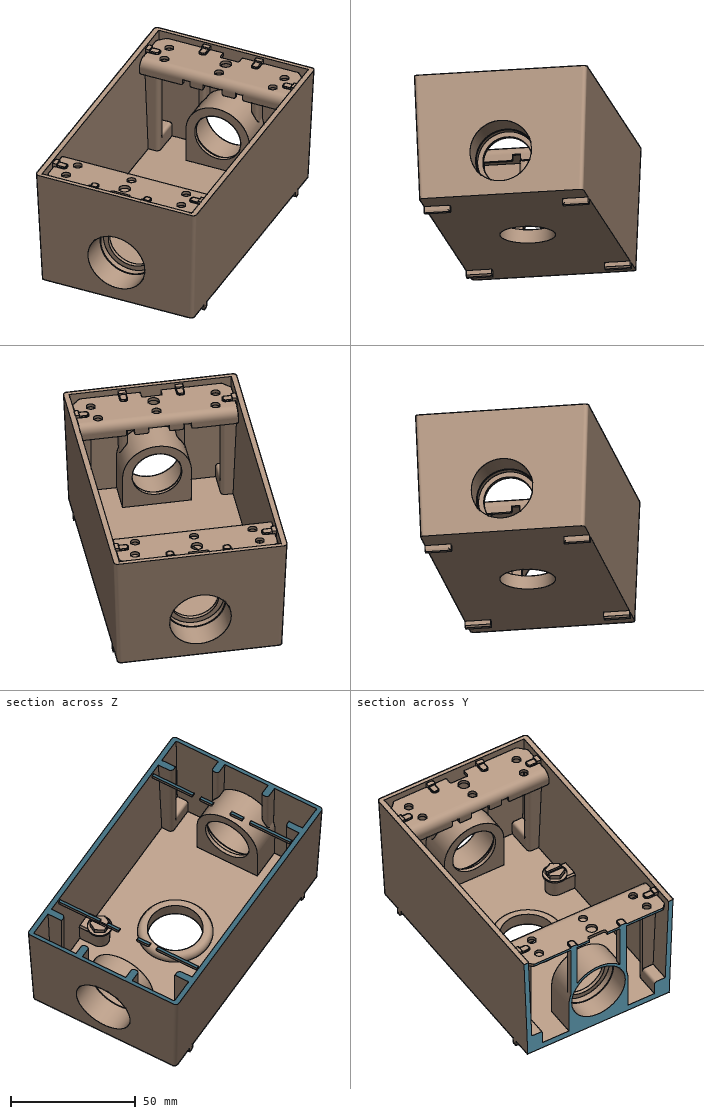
import cadquery as cq
import math

length = 115.1
width = 70.6
height = 51.4
draft = 2.0
cavity_draft = 2.2
corner_radius = 1.6
floor_thickness = 3.1
opening_width = 66.0
opening_length = 111.6

overall_height = 54.0
foot_height = overall_height - height
foot_length = 10.5
foot_thickness = 2.5
foot_y = 43.7
foot_chamfer = 0.7
foot_bevel_length = 0.8
foot_bevel_depth = 0.2

hub_z = 18.1
hub_radius = 14.0
hub_face_y = 40.6
thread_diameter = 25.1
thread_depth = 11.5
relief_diameter = 24.4
relief_depth = 14.2
stop_diameter = 20.3

floor_hole_diameter = 22.3
floor_rim_diameter = 30.4
floor_rim_height = 2.5
floor_rim_rounding = 2.4

support_x = 26.3
support_y = 41.7
support_height = 6.3
support_edge_radius = 1.3
pillar_thickness = 3.0
pillar_radius = 1.7

shelf_width = 64.7
shelf_front_y = 35.8
shelf_back_y = 55.1
shelf_top = height - 2.3
shelf_nose_radius = 3.6
shelf_thickness = 1.4
shelf_lip_drop = 2.5
lip_corner_radius = 0.8
shelf_corner = 3.3
shelf_hole_diameter = 3.6
shelf_hole_points = [(0, 41.9), (25.4, 49.4), (-25.4, 49.4), (23.9, 41.4), (-23.9, 41.4)]
center_hole_diameter = 4.6
center_hole_y = 48.4
recess_width = 8.4
recess_depth = 3.3
recess_radius = 0.8

clip_width = 3.2
clip_tip_radius = 1.3
clip_height = 0.7
clip_chamfer = 0.3
clip_stub_height = 1.4
clip_stub_overlap = 1.2
end_clip_x = 11.6
end_clip_tip_y = 50.3
side_clip_y = 44.4
side_clip_tip_x = 27.2

screw_x = 24.3
screw_y = 18.4
lug_width = 8.0
lug_height = 7.9
lug_chamfer = 0.7
washer_diameter = 9.9
washer_thickness = 0.7
head_flats = 6.9
head_height = 2.0
slot_width = 1.3
slot_depth = 0.9

taper = math.tan(math.radians(draft))
shelf_bottom = shelf_top - shelf_thickness
lip_top = shelf_top - shelf_nose_radius
lip_bottom = lip_top - shelf_lip_drop


def block(x0, x1, y0, y1, z0, z1):
    """Box between two opposite corners."""
    return cq.Workplane("XY").box(x1 - x0, y1 - y0, z1 - z0, centered=False).translate((x0, y0, z0))


def cylinder(x, y, z0, z1, diameter):
    """Upright cylinder."""
    return cq.Workplane("XY").center(x, y).circle(diameter / 2).extrude(z1 - z0).translate((0, 0, z0))


def mirrored_y(body):
    """The body together with its mirror image at the opposite end of the box."""
    return body.union(body.mirror("XZ"))


def drafted_block(size_x, size_y, depth):
    """Block that narrows downward from the top of the box."""
    return (
        cq.Workplane("XY").workplane(offset=height)
        .rect(size_x, size_y).extrude(-depth, taper=cavity_draft)
    )


def make_outer():
    """Drafted outer body with rounded upright corners."""
    lower_inset = 2 * height * taper
    top = cq.Sketch().rect(width, length).vertices().fillet(corner_radius)
    bottom = cq.Sketch().rect(width - lower_inset, length - lower_inset).vertices().fillet(corner_radius)
    return cq.Workplane("XY").placeSketch(bottom, top.moved(cq.Location((0, 0, height)))).loft()


def make_feet():
    """Four bars under the floor, flush with the long sides."""
    outer_x = width / 2 - height * taper
    y0 = foot_y - foot_thickness / 2
    y1 = foot_y + foot_thickness / 2
    foot = block(outer_x - foot_length, outer_x, y0, y1, -foot_height, 0)
    foot = foot.edges("<Y and <Z").chamfer(foot_chamfer)
    end_x = outer_x - foot_length
    end_bevel = (
        cq.Workplane("XY").workplane(offset=-foot_height)
        .moveTo(end_x, y1)
        .lineTo(end_x + foot_bevel_length, y1)
        .lineTo(end_x, y1 - foot_bevel_depth)
        .close().extrude(foot_height)
    )
    bottom_bevel = (
        cq.Workplane("YZ").workplane(offset=end_x)
        .moveTo(y1, -foot_height)
        .lineTo(y1, -foot_height + foot_bevel_length)
        .lineTo(y1 - foot_bevel_depth, -foot_height)
        .close().extrude(foot_length)
    )
    foot = foot.cut(end_bevel).cut(bottom_bevel)
    foot = foot.union(foot.mirror("YZ"))
    return mirrored_y(foot)


def make_hub():
    """Round-topped block on the +Y wall, reaching down to the floor."""
    hub_length = length / 2 - hub_face_y
    tube = cq.Workplane("XZ", origin=(0, length / 2, hub_z)).circle(hub_radius).extrude(hub_length)
    base = block(-hub_radius, hub_radius, hub_face_y, length / 2, 0, hub_z)
    return tube.union(base)


def make_hub_bore():
    """Stepped conduit bore through the +Y wall and its hub."""
    wall_y = length / 2 - (height - hub_z) * taper

    def step(diameter, depth):
        start = cq.Workplane("XZ", origin=(0, length / 2, hub_z))
        return start.circle(diameter / 2).extrude(length / 2 - wall_y + depth)

    bore = step(thread_diameter, thread_depth)
    bore = bore.union(step(relief_diameter, relief_depth))
    return bore.union(step(stop_diameter, length / 2 - shelf_front_y))


def make_support():
    """Low block and pillar that carry the shelf in the +X +Y corner."""
    sill = block(support_x, width / 2, support_y, length / 2, 0, floor_thickness + support_height)
    sill = sill.edges("<X and >Z").fillet(support_edge_radius)
    pillar = block(support_x, width / 2, support_y, support_y + pillar_thickness, 0, shelf_bottom)
    support = sill.union(pillar)
    round_x = support_x + pillar_radius
    round_y = support_y + pillar_radius
    rounding = block(support_x, round_x, support_y, round_y, 0, shelf_bottom)
    rounding = rounding.cut(cylinder(round_x, round_y, 0, shelf_bottom, 2 * pillar_radius))
    return support.cut(rounding)


def make_shelf():
    """Shelf at the +Y end with a rounded nose, a notched lip and its holes."""
    nose_y = shelf_front_y + shelf_nose_radius
    lip_back_y = shelf_front_y + shelf_thickness
    outer_bend = shelf_nose_radius * math.sqrt(0.5)
    inner_bend = (shelf_nose_radius - shelf_thickness) * math.sqrt(0.5)
    shelf = (
        cq.Workplane("YZ").workplane(offset=-shelf_width / 2)
        .moveTo(shelf_front_y, lip_bottom)
        .lineTo(shelf_front_y, lip_top)
        .threePointArc((nose_y - outer_bend, lip_top + outer_bend), (nose_y, shelf_top))
        .lineTo(shelf_back_y, shelf_top)
        .lineTo(shelf_back_y, shelf_bottom)
        .lineTo(nose_y, shelf_bottom)
        .threePointArc((nose_y - inner_bend, lip_top + inner_bend), (lip_back_y, lip_top))
        .lineTo(lip_back_y, lip_bottom)
        .close().extrude(shelf_width)
    )
    shelf = shelf.edges("|Z and >Y").chamfer(shelf_corner)
    notches = [(0, recess_width), (end_clip_x, clip_width), (-end_clip_x, clip_width)]
    for x, notch_width in notches:
        shelf = shelf.cut(block(x - notch_width / 2, x + notch_width / 2,
                                shelf_front_y, lip_back_y, lip_bottom, lip_top))
    shelf = shelf.faces("<Z").edges("|Y").fillet(lip_corner_radius)
    for x, y in shelf_hole_points:
        shelf = shelf.cut(cylinder(x, y, shelf_bottom, shelf_top, shelf_hole_diameter))
    shelf = shelf.cut(cylinder(0, center_hole_y, shelf_bottom, shelf_top, center_hole_diameter))
    recess = block(-recess_width / 2, recess_width / 2, shelf_back_y - recess_depth, shelf_back_y,
                   shelf_bottom, shelf_top)
    return shelf.cut(recess.edges("|Z and <Y").fillet(recess_radius))


def make_clip(root, tip, shelf_edge, base):
    """Clip along +X from its rounded tip on the shelf to a raised stub on the wall."""
    half = clip_width / 2
    clip = block(tip, root, -half, half, base, shelf_top + clip_height)
    clip = clip.edges("|Z and <X").fillet(clip_tip_radius)
    clip = clip.faces(">Z").edges("not(>X)").chamfer(clip_chamfer)
    return clip.union(block(shelf_edge - clip_stub_overlap, root, -half, half,
                            shelf_bottom, shelf_top + clip_stub_height))


def make_clips():
    """Clips of the +Y shelf: two tall ribs on the end wall and a short clip on each long wall."""
    end_root = (length + opening_length) / 4
    side_root = (width + opening_width) / 4
    end_clip = make_clip(end_root, end_clip_tip_y, shelf_back_y, 0)
    end_clip = end_clip.rotate((0, 0, 0), (0, 0, 1), 90)
    side_clip = make_clip(side_root, side_clip_tip_x, shelf_width / 2, shelf_bottom)
    clips = end_clip.translate((end_clip_x, 0, 0)).union(side_clip.translate((0, side_clip_y, 0)))
    return clips.union(clips.mirror("YZ"))


def make_screw_lug():
    """Lug on the +X wall with a washer and a slotted hexagon screw head."""
    lug_top = floor_thickness + lug_height
    half = lug_width / 2
    lug = block(screw_x, width / 2, screw_y - half, screw_y + half, 0, lug_top)
    lug = lug.edges("|X and >Z").chamfer(lug_chamfer)
    lug = lug.union(cylinder(screw_x, screw_y, 0, lug_top, lug_width))
    washer_top = lug_top + washer_thickness
    washer = cylinder(screw_x, screw_y, lug_top, washer_top, washer_diameter)
    head = cq.Workplane("XY").polygon(6, head_flats / math.cos(math.pi / 6)).extrude(head_height)
    head = head.rotate((0, 0, 0), (0, 0, 1), 30)
    head = head.cut(block(-head_flats, head_flats, -slot_width / 2, slot_width / 2,
                          head_height - slot_depth, head_height))
    return lug.union(washer).union(head.translate((screw_x, screw_y, washer_top)))


def make_floor_rim():
    """Rim around the floor hole with its outer edge rounded."""
    rim_top = floor_thickness + floor_rim_height
    rim = cylinder(0, 0, floor_thickness, rim_top, floor_rim_diameter)
    return rim.faces(">Z").edges().fillet(floor_rim_rounding)


outer = make_outer()
cavity = drafted_block(opening_width, opening_length, height - floor_thickness)

support = make_support()
support = support.union(support.mirror("YZ"))
end_fittings = make_hub().union(support).union(make_shelf()).union(make_clips())

fittings = mirrored_y(end_fittings).union(make_screw_lug()).union(make_floor_rim())
fittings = fittings.intersect(outer)

result = outer.cut(cavity).union(fittings).union(make_feet())
result = result.cut(mirrored_y(make_hub_bore()))
result = result.cut(cylinder(0, 0, 0, height, floor_hole_diameter))